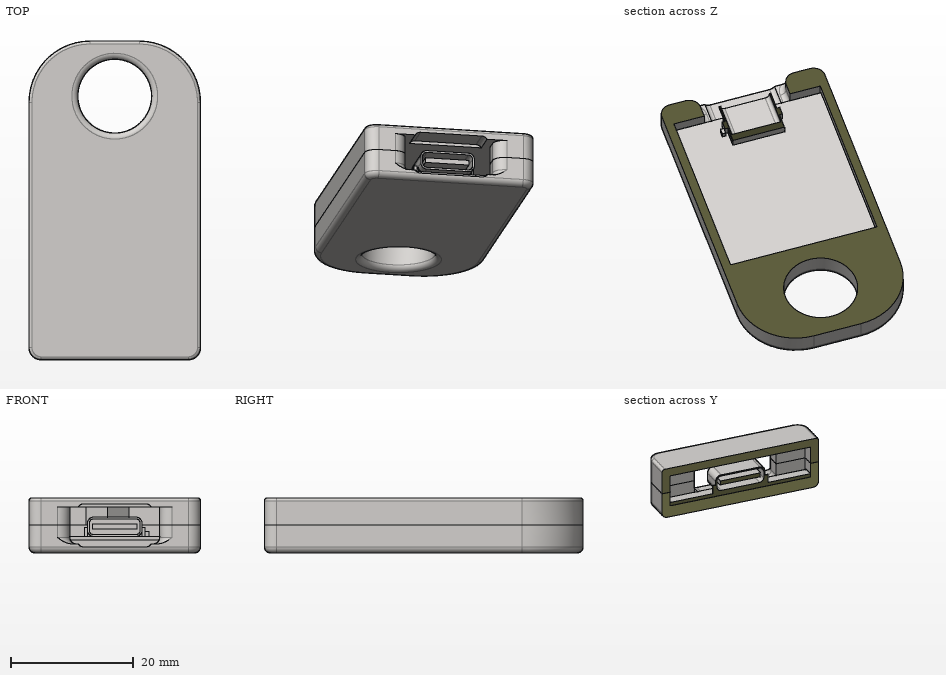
import cadquery as cq
import math

case_width = 28.0
case_length = 52.0
case_height = 9.0
parting_z = 4.6
tail_corner_radius = 10.0
port_corner_radius = 2.0
top_edge_fillet = 0.5
bottom_edge_fillet = 1.0
wall = 1.5

ring_hole_diameter = 12.0
ring_hole_y = 43.0
ring_hole_fillet = 1.0

opening_width = 14.6
opening_depth = 4.7
opening_floor_z = wall
opening_ceiling_z = case_height - wall
flare_radius = 2.0
opening_floor_fillet = 1.0
mouth_overrun = 3.0

relief_width = 12.2
relief_depth = 0.5
relief_fillet = 1.0

board_thickness = 0.6
board_front_y = 4.4
board_top_z = 2.7
board_bottom_z = board_top_z - board_thickness
cavity_width = case_width - 2 * wall
cavity_start_y = 4.0
cavity_end_y = 34.0

wedge_centre_x = -1.15
wedge_width = 7.0
wedge_length = wedge_width / 2

receptacle_width = 8.9
receptacle_height = 3.15
receptacle_length = 7.3
receptacle_front_y = 2.85
receptacle_corner_radius = 1.0
receptacle_shell = 0.3
receptacle_pocket_depth = 6.0
receptacle_top_z = board_top_z + receptacle_height
tongue_width = 7.2
tongue_thickness = 0.8
tongue_setback = 0.4
tongue_centre_z = 4.35

foot_height = 0.9
foot_front_y = 5.0

leg_span = 9.9
leg_height = 1.45
leg_length = 1.5
leg_front_y = 6.0

chip_left_x = leg_span / 2
chip_width = 0.6
chip_height = 0.8
chip_length = 1.0
chip_front_y = 7.0


def box(x_min, x_max, y_min, y_max, z_min, z_max):
    """Axis-aligned block between the given limits."""
    size = (x_max - x_min, y_max - y_min, z_max - z_min)
    return cq.Workplane("XY").box(*size, centered=False).translate((x_min, y_min, z_min))


def centred_box(width, y_min, y_max, z_min, z_max):
    """Block that is symmetric about X = 0."""
    return box(-width / 2, width / 2, y_min, y_max, z_min, z_max)


def case_blank():
    """Solid outer case with its outside fillets and the key-ring hole."""
    ring_hole = (
        cq.Workplane("XY")
        .center(0, ring_hole_y)
        .circle(ring_hole_diameter / 2)
        .extrude(case_height)
    )
    blank = centred_box(case_width, 0, case_length, 0, case_height).cut(ring_hole)
    blank = blank.edges("%CIRCLE").fillet(ring_hole_fillet)
    blank = blank.edges("|Z and >Y").fillet(tail_corner_radius)
    blank = blank.edges("|Z and <Y").fillet(port_corner_radius)
    blank = blank.faces(">Z").edges("<X").fillet(top_edge_fillet)
    return blank.faces("<Z").edges("<X").fillet(bottom_edge_fillet)


def opening_cutter():
    """Plug opening: a tunnel whose side walls flare out to the port face."""
    half = opening_width / 2
    mouth = half + flare_radius
    outside = mouth + mouth_overrun
    bend = flare_radius * (1 - math.sqrt(0.5))
    tunnel = (
        cq.Workplane("XY", origin=(0, 0, opening_floor_z))
        .moveTo(-outside, -mouth_overrun)
        .lineTo(-outside, 0)
        .lineTo(-mouth, 0)
        .threePointArc((-half - bend, bend), (-half, flare_radius))
        .lineTo(-half, opening_depth)
        .lineTo(half, opening_depth)
        .lineTo(half, flare_radius)
        .threePointArc((half + bend, bend), (mouth, 0))
        .lineTo(outside, 0)
        .lineTo(outside, -mouth_overrun)
        .close()
        .extrude(opening_ceiling_z - opening_floor_z)
    )
    tunnel = tunnel.faces("<Z").edges("%CIRCLE").fillet(opening_floor_fillet)
    relief = centred_box(
        relief_width,
        0,
        opening_depth,
        opening_floor_z - relief_depth,
        opening_ceiling_z + relief_depth,
    )
    return tunnel.union(relief.edges("|Y").fillet(relief_fillet))


def cavity_cutter():
    """Board cavity, less the wedge that stands on its end wall above the parting plane."""
    cavity = centred_box(cavity_width, cavity_start_y, cavity_end_y, board_bottom_z, opening_ceiling_z)
    wedge = (
        cq.Workplane("XY", origin=(wedge_centre_x, cavity_end_y, parting_z))
        .moveTo(-wedge_width / 2, 0)
        .lineTo(0, -wedge_length)
        .lineTo(wedge_width / 2, 0)
        .close()
        .extrude(opening_ceiling_z - parting_z)
    )
    return cavity.cut(wedge)


def receptacle():
    """USB-C receptacle: rounded shell with an open front and a contact tongue inside."""
    shell_end_y = receptacle_front_y + receptacle_length
    pocket_end_y = receptacle_front_y + receptacle_pocket_depth
    shell = centred_box(
        receptacle_width, receptacle_front_y, shell_end_y, board_top_z, receptacle_top_z
    )
    shell = shell.edges("|Y").fillet(receptacle_corner_radius)
    pocket = centred_box(
        receptacle_width - 2 * receptacle_shell,
        receptacle_front_y,
        pocket_end_y,
        board_top_z + receptacle_shell,
        receptacle_top_z - receptacle_shell,
    )
    pocket = pocket.edges("|Y").fillet(receptacle_corner_radius - receptacle_shell)
    tongue = centred_box(
        tongue_width,
        receptacle_front_y + tongue_setback,
        pocket_end_y,
        tongue_centre_z - tongue_thickness / 2,
        tongue_centre_z + tongue_thickness / 2,
    )
    legs = centred_box(
        leg_span, leg_front_y, leg_front_y + leg_length, board_top_z, board_top_z + leg_height
    )
    foot = centred_box(
        receptacle_width, foot_front_y, shell_end_y, board_top_z, board_top_z + foot_height
    )
    return shell.union(foot).union(legs).cut(pocket).union(tongue)


def make_board():
    """Circuit board carrying the receptacle and one chip component."""
    plate = centred_box(cavity_width, board_front_y, cavity_end_y, board_bottom_z, board_top_z)
    chip = box(
        chip_left_x,
        chip_left_x + chip_width,
        chip_front_y,
        chip_front_y + chip_length,
        board_top_z,
        board_top_z + chip_height,
    )
    return plate.union(receptacle()).union(chip)


def make_lower_shell(hollow_case):
    """Half of the case below the parting plane."""
    return hollow_case.intersect(centred_box(case_width, 0, case_length, 0, parting_z))


def make_upper_shell(hollow_case):
    """Half of the case above the parting plane."""
    return hollow_case.intersect(centred_box(case_width, 0, case_length, parting_z, case_height))


hollow_case = case_blank().cut(opening_cutter()).cut(cavity_cutter())
lower_shell = make_lower_shell(hollow_case)
upper_shell = make_upper_shell(hollow_case)
board = make_board()

result = cq.Compound.makeCompound(
    [body.solids().val() for body in (lower_shell, upper_shell, board)]
)